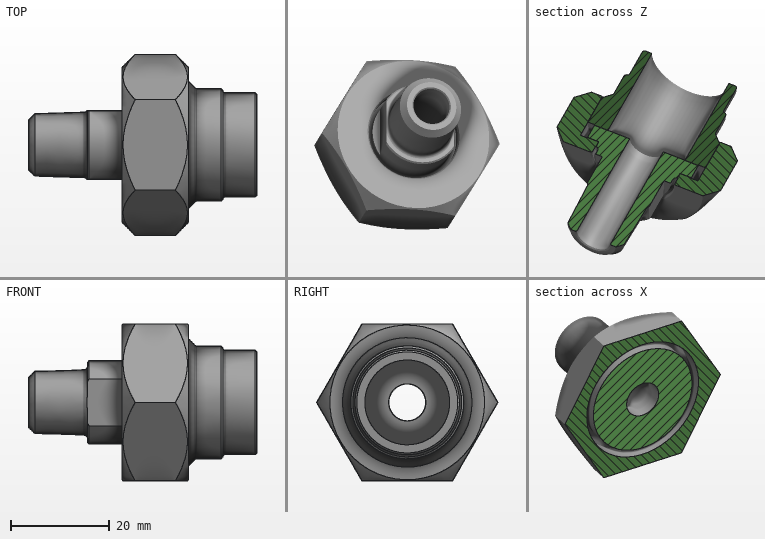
import cadquery as cq
import math


overall_length = 46.5

diagonal = math.sqrt(0.5)

nut_start = 19.0
nut_length = 13.6
nut_end = nut_start + nut_length
nut_across_flats = 32.0
nut_across_corners = nut_across_flats / math.cos(math.pi / 6)
nut_face_radius = 15.77
nut_lip_thickness = 3.0
nut_lip_end = nut_start + nut_lip_thickness
nut_hole_radius = 18.5 / 2
nut_hole_chamfer = 0.3
thread_radius = 26.4 / 2

nipple_bore_radius = 7.5 / 2
nipple_bore_chamfer = 0.25
nose_radius = 5.12
nose_chamfer = 1.25
taper_slope = 1 / 32
taper_end = 11.3
neck_start = 12.0
neck_radius = 17.0 / 2
neck_chamfer = 0.3
neck_end = nut_start + 1.0
flat_width = 14.0
flat_end = nut_start
flange_radius = 23.5 / 2
flange_thickness = 3.5
flange_end = nut_lip_end + flange_thickness

socket_bore_radius = 17.3 / 2
collar_radius = 23.0 / 2
collar_end = 39.6
collar_chamfer = 0.4
cone_end = 34.05
cone_angle = math.pi / 4
cone_blend_radius = 0.5
weld_end_radius = 21.3 / 2
weld_end_fillet = 0.4
weld_end_chamfer = 0.35


def revolve_about_x(profile):
    """Turn a closed (x, radius) profile around the X axis."""
    return profile.close().revolve(360, (0, 0, 0), (1, 0, 0))


def cylinder_along_x(start, end, radius):
    """Solid cylinder on the X axis between two X positions."""
    return cq.Workplane("YZ", origin=(start, 0, 0)).circle(radius).extrude(end - start)


def make_nipple():
    taper_start_radius = nose_radius + nose_chamfer
    taper_end_radius = taper_start_radius + (taper_end - nose_chamfer) * taper_slope
    root_fillet = neck_start - taper_end
    barrel_fillet = nut_hole_radius - neck_radius
    profile = (
        cq.Workplane("XY")
        .moveTo(0, nipple_bore_radius + nipple_bore_chamfer)
        .lineTo(0, nose_radius)
        .lineTo(nose_chamfer, taper_start_radius)
        .lineTo(taper_end, taper_end_radius)
        .threePointArc(
            (taper_end + root_fillet * diagonal, taper_end_radius + root_fillet * (1 - diagonal)),
            (neck_start, taper_end_radius + root_fillet),
        )
        .lineTo(neck_start, neck_radius - neck_chamfer)
        .lineTo(neck_start + neck_chamfer, neck_radius)
        .lineTo(neck_end, neck_radius)
        .threePointArc(
            (neck_end + barrel_fillet * diagonal, neck_radius + barrel_fillet * (1 - diagonal)),
            (neck_end + barrel_fillet, nut_hole_radius),
        )
        .lineTo(nut_lip_end, nut_hole_radius)
        .lineTo(nut_lip_end, flange_radius)
        .lineTo(flange_end, flange_radius)
        .lineTo(flange_end, nipple_bore_radius)
        .lineTo(nipple_bore_chamfer, nipple_bore_radius)
    )
    flat_band = cq.Workplane("XY").box(
        flat_end, flat_width, 2 * neck_radius, centered=(False, True, True)
    )
    body = revolve_about_x(profile)
    seated_part = cylinder_along_x(flat_end, flange_end, flange_radius)
    return body.intersect(flat_band.union(seated_part))


def make_nut():
    corner_radius = nut_across_corners / 2
    corner_chamfer = corner_radius - nut_face_radius
    hexagon = (
        cq.Workplane("YZ", origin=(nut_start, 0, 0))
        .polygon(6, nut_across_corners)
        .extrude(nut_length)
    )
    envelope = cylinder_along_x(nut_start, nut_end, corner_radius).edges().chamfer(corner_chamfer)
    opening = revolve_about_x(
        cq.Workplane("XY")
        .moveTo(nut_start, 0)
        .lineTo(nut_start, nut_hole_radius + nut_hole_chamfer)
        .lineTo(nut_start + nut_hole_chamfer, nut_hole_radius)
        .lineTo(nut_lip_end, nut_hole_radius)
        .lineTo(nut_lip_end, thread_radius)
        .lineTo(nut_end, thread_radius)
        .lineTo(nut_end, 0)
    )
    return hexagon.intersect(envelope).cut(opening)


def make_socket():
    cone_start = cone_end - (thread_radius - collar_radius)
    blend_reach = cone_blend_radius * math.tan(cone_angle / 2)
    blend_offset = blend_reach * diagonal
    fillet_middle_offset = weld_end_fillet * (1 - diagonal)
    profile = (
        cq.Workplane("XY")
        .moveTo(flange_end, socket_bore_radius)
        .lineTo(flange_end, thread_radius)
        .lineTo(cone_start, thread_radius)
        .lineTo(cone_end - blend_offset, collar_radius + blend_offset)
        .tangentArcPoint((cone_end + blend_reach, collar_radius), relative=False)
        .lineTo(collar_end - collar_chamfer, collar_radius)
        .lineTo(collar_end, collar_radius - collar_chamfer)
        .lineTo(collar_end, weld_end_radius + weld_end_fillet)
        .threePointArc(
            (collar_end + fillet_middle_offset, weld_end_radius + fillet_middle_offset),
            (collar_end + weld_end_fillet, weld_end_radius),
        )
        .lineTo(overall_length - weld_end_chamfer, weld_end_radius)
        .lineTo(overall_length, weld_end_radius - weld_end_chamfer)
        .lineTo(overall_length, socket_bore_radius)
    )
    return revolve_about_x(profile)


nipple = make_nipple()
nut = make_nut()
socket = make_socket()

result = cq.Compound.makeCompound([nipple.val(), nut.val(), socket.val()])